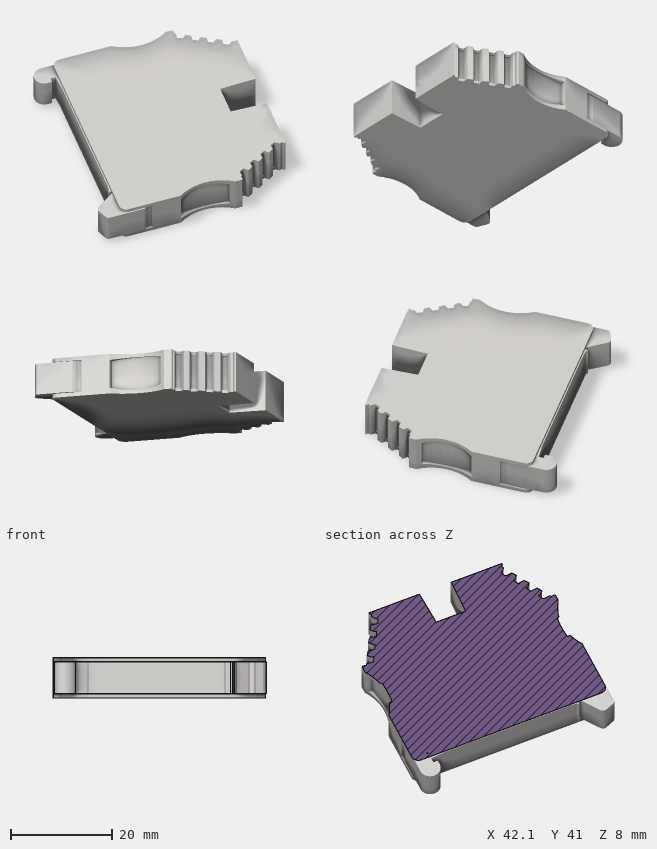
import cadquery as cq

thickness = 8.0
half_width = 20.95
top_y = 36.5
overall_length = 40.95
corner_radius = 1.47

slot_half_top = 3.4
slot_half_floor = 3.15
slot_depth = 7.5
slot_floor_y = top_y - slot_depth

tooth_count = 4
first_root = (13.7, 34.52)
tooth_step = (1.5, -2.7)
shoulder_offset = (0.5, -1.0)
crest_offset = (1.6, -0.9)
tip_offset = (2.27, -1.9)
lead_in_points = [(14.4, top_y), (14.52, 36.25), (14.1, 35.85), (14.35, 35.35)]
runout_points = [(20.1, 25.25), (20.8, 25.4), (half_width, 25.2)]
undercut_depth = 0.35
undercut_face_margin = 0.55
undercut_height = thickness - 2 * undercut_face_margin

grip_top_y = 23.8
grip_bottom_y = 12.38
grip_mid_y = (grip_top_y + grip_bottom_y) / 2
grip_depth = 1.73

pocket_top_y = 22.9
pocket_bottom_y = 12.4
pocket_mid_y = (pocket_top_y + pocket_bottom_y) / 2
pocket_end_depth = 1.25
pocket_mid_depth = grip_depth + 0.38
pocket_end_half_height = 2.78
pocket_mid_half_height = 3.33

plate_thickness = 0.8
plate_gap = 0.1
opening_height = thickness - 2 * plate_thickness
insert_height = opening_height - 2 * plate_gap
opening_depth = 0.4
opening_floor_y = 1.05
opening_top_y = 6.5
insert_bottom_y = -0.15
ramp_top_y = 5.5
ramp_bottom_y = 4.7

hook_left_x = -20.7
hook_right_x = -16.55
hook_radius = (hook_right_x - hook_left_x) / 2
hook_center_x = hook_left_x + hook_radius
foot_bottom_y = top_y - overall_length
hook_center_y = foot_bottom_y + hook_radius
hook_neck_x = -17.5
hook_lip_y = -1.47
neck_top_y = -0.4
neck_ramp_x = -14.1

wedge_right_x = 21.15
wedge_inner_x = 15.3
wedge_tip = (18.15, -4.3)
wedge_heel_y = -3.05
wedge_tip_radius = 0.95
wedge_heel_radius = 0.75
bump_points = [(12.92, insert_bottom_y), (14.05, -0.25), (14.5, -0.65)]
notch_points = [(14.75, 0.85), (14.8, 0.85)]


def tooth_root(index):
    """Root of one tooth gap on the +X side."""
    return (first_root[0] + index * tooth_step[0], first_root[1] + index * tooth_step[1])


def shifted(point, offset):
    return (point[0] + offset[0], point[1] + offset[1])


def shoulder_outline():
    """Points down the +X shoulder, from the top edge to the finger grip."""
    points = list(lead_in_points)
    for index in range(tooth_count):
        root = tooth_root(index)
        points += [root, shifted(root, shoulder_offset), shifted(root, crest_offset)]
        if index < tooth_count - 1:
            points.append(shifted(root, tip_offset))
    return points + runout_points + [(half_width, grip_top_y)]


def both_sides(solid):
    return solid.union(solid.mirror("YZ"))


def symmetric_prism(sketch, height):
    """Extrude a closed XY outline symmetrically about Z = 0."""
    return sketch.close().extrude(height / 2, both=True)


def make_housing():
    half = cq.Workplane("XY").moveTo(0, slot_floor_y).lineTo(slot_half_floor, slot_floor_y)
    half = half.lineTo(slot_half_top, top_y)
    for point in shoulder_outline():
        half = half.lineTo(*point)
    half = half.threePointArc((half_width - grip_depth, grip_mid_y), (half_width, grip_bottom_y))
    half = half.lineTo(half_width, corner_radius)
    half = half.radiusArc((half_width - corner_radius, 0), corner_radius).lineTo(0, 0)
    return both_sides(symmetric_prism(half, thickness))


def make_tooth_undercuts():
    """Bars that deepen each tooth gap between the two outer faces."""
    undercuts = cq.Workplane("XY")
    for index in range(tooth_count):
        root = tooth_root(index)
        shoulder = shifted(root, shoulder_offset)
        inner_points = [shifted(point, (-undercut_depth, 0)) for point in (shoulder, root)]
        section = cq.Workplane("XY").polyline([root, shoulder] + inner_points)
        undercuts = undercuts.union(symmetric_prism(section, undercut_height))
    return both_sides(undercuts)


def make_grip_pockets():
    """Curved-floor pockets whose long edges bow outward in Z."""
    end_x = half_width - pocket_end_depth
    floor = cq.Workplane("XY").moveTo(end_x, pocket_top_y)
    floor = floor.threePointArc((half_width - pocket_mid_depth, pocket_mid_y), (end_x, pocket_bottom_y))
    floor = floor.lineTo(half_width, pocket_bottom_y).lineTo(half_width, pocket_top_y)
    window = cq.Workplane("YZ").moveTo(pocket_bottom_y, -pocket_end_half_height)
    window = window.lineTo(pocket_bottom_y, pocket_end_half_height)
    window = window.threePointArc(
        (pocket_mid_y, pocket_mid_half_height), (pocket_top_y, pocket_end_half_height)
    )
    window = window.lineTo(pocket_top_y, -pocket_end_half_height)
    window = window.threePointArc(
        (pocket_mid_y, -pocket_mid_half_height), (pocket_bottom_y, -pocket_end_half_height)
    )
    window = window.close().extrude(half_width)
    return both_sides(symmetric_prism(floor, thickness).intersect(window))


def make_insert_opening():
    """U-shaped recess along the bottom edge and up both sides."""
    inner_width = 2 * (half_width - opening_depth)
    on_bottom_edge = (True, False, True)
    outer = cq.Workplane("XY").box(2 * half_width, opening_top_y, opening_height, centered=on_bottom_edge)
    inner = cq.Workplane("XY").box(inner_width, opening_top_y, opening_height, centered=on_bottom_edge)
    return outer.cut(inner.translate((0, opening_floor_y, 0)))


def make_foot_insert():
    inner_x = half_width - opening_depth
    outline = cq.Workplane("XY").moveTo(-inner_x, ramp_top_y).lineTo(hook_left_x, ramp_bottom_y)
    outline = outline.lineTo(hook_left_x, hook_center_y)
    outline = outline.threePointArc((hook_center_x, foot_bottom_y), (hook_right_x, hook_center_y))
    outline = outline.lineTo(hook_right_x, hook_lip_y).lineTo(hook_neck_x, hook_lip_y)
    outline = outline.lineTo(hook_neck_x, neck_top_y).lineTo(neck_ramp_x, insert_bottom_y)
    for point in bump_points + notch_points:
        outline = outline.lineTo(*point)
    outline = outline.lineTo(wedge_inner_x, insert_bottom_y).lineTo(*wedge_tip)
    outline = outline.lineTo(wedge_right_x, wedge_heel_y).lineTo(wedge_right_x, ramp_bottom_y)
    outline = outline.lineTo(inner_x, ramp_top_y)
    insert = symmetric_prism(outline, insert_height)
    tip_edge = cq.selectors.NearestToPointSelector((wedge_tip[0], wedge_tip[1], 0))
    insert = insert.edges("|Z").edges(tip_edge).fillet(wedge_tip_radius)
    heel_edge = cq.selectors.NearestToPointSelector((wedge_right_x, wedge_heel_y, 0))
    return insert.edges("|Z").edges(heel_edge).fillet(wedge_heel_radius)


housing = make_housing().cut(make_tooth_undercuts()).cut(make_grip_pockets())
result = housing.cut(make_insert_opening()).union(make_foot_insert())